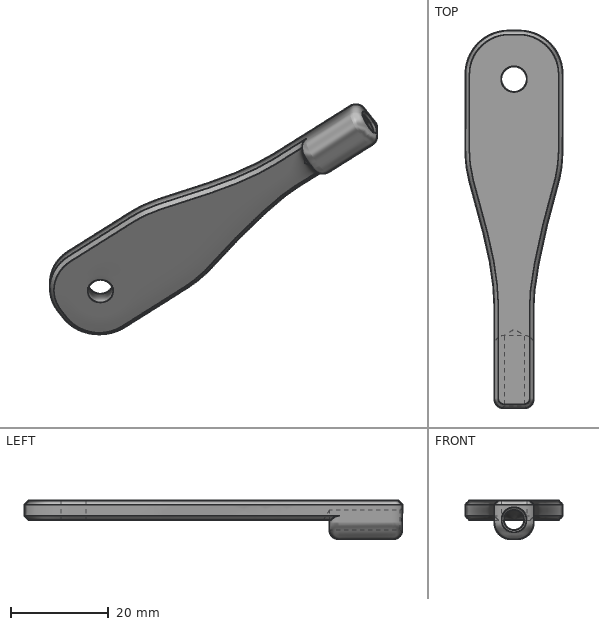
import cadquery as cq

length = 77.5
head_width = 20.0
neck_width = 8.1
plate_thickness = 4.0
total_height = 8.0

head_corner_radius = 9.0
head_straight_start = 57.65
neck_end = 15.0
shoulder_points = [(9.7, 49.0), (7.8, 41.55), (4.2, 23.7)]
rim_size = 0.85

hanging_hole_diameter = 5.2
hanging_hole_from_end = 10.0

socket_corner_radius = 3.5
socket_end_radius = 2.0
bore_diameter = 4.1
bore_mouth_diameter = 5.2
bore_mouth_depth = 0.55
bore_tip_length = 1.25

half_head = head_width / 2
half_neck = neck_width / 2


def mirrored(points):
    """Reflect points across the YZ plane and reverse their order."""
    return [(-x, y) for x, y in reversed(points)]


def make_plate():
    """Paddle with a smooth shoulder, rounded ends and bevelled rims."""
    right_side = [(half_head, head_straight_start), *shoulder_points, (half_neck, neck_end)]
    left_side = mirrored(right_side)
    down = (0, -1)
    up = (0, 1)
    plate = (
        cq.Workplane("XY")
        .moveTo(half_head, length)
        .lineTo(*right_side[0])
        .spline(right_side[1:], tangents=[down, down], includeCurrent=True)
        .lineTo(half_neck, 0)
        .lineTo(-half_neck, 0)
        .lineTo(*left_side[0])
        .spline(left_side[1:], tangents=[up, up], includeCurrent=True)
        .lineTo(-half_head, length)
        .close()
        .extrude(-plate_thickness)
    )
    plate = plate.faces(">Y").edges("|Z").fillet(head_corner_radius)
    plate = plate.faces("<Y").edges("|Z").fillet(socket_end_radius)
    return plate.faces("<Z or >Z").chamfer(rim_size)


def make_socket():
    """Round-bottomed block under the neck, with rounded ends."""
    socket_height = total_height - rim_size
    block = cq.Workplane("XY").box(neck_width, neck_end, socket_height, centered=(True, False, False))
    block = block.translate((0, 0, -total_height))
    block = block.faces("<Z").edges("|Y").fillet(socket_corner_radius)
    end_edges = block.faces("<Y or >Y").edges("not(>Z)")
    return end_edges.fillet(socket_end_radius)


def make_bore():
    """Blind bore along Y with a flared mouth and a conical tip."""
    bore_radius = bore_diameter / 2
    profile = (
        cq.Workplane("XY")
        .moveTo(0, 0)
        .lineTo(bore_mouth_diameter / 2, 0)
        .lineTo(bore_radius, bore_mouth_depth)
        .lineTo(bore_radius, neck_end)
        .lineTo(0, neck_end + bore_tip_length)
        .close()
    )
    bore = profile.revolve(360, (0, 0, 0), (0, 1, 0))
    return bore.translate((0, 0, -total_height / 2))


def make_hanging_hole():
    """Through hole in the wide end."""
    return (
        cq.Workplane("XY")
        .center(0, length - hanging_hole_from_end)
        .circle(hanging_hole_diameter / 2)
        .extrude(-plate_thickness)
    )


result = make_plate().union(make_socket()).cut(make_bore()).cut(make_hanging_hole())